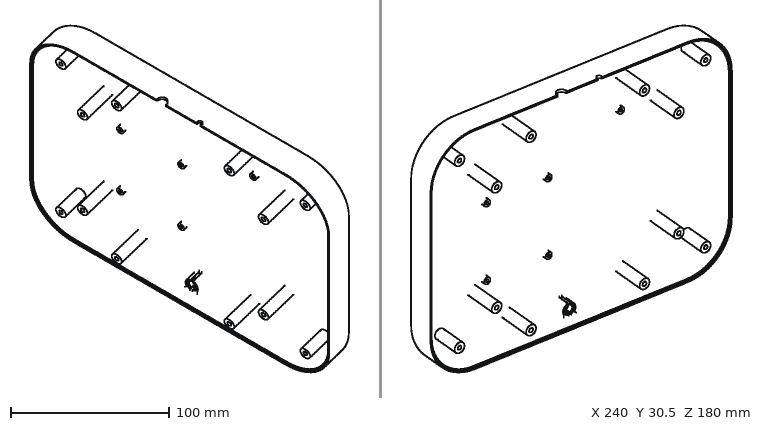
import cadquery as cq
length = 240.0
height = 180.0
depth = 23.5
overall_depth = 30.5
wall = 2.0
corner_radius = 35.0
back_fillet = 5.0
inner_fillet = back_fillet - wall
floor_y = depth - wall
rim_step = 1.0

post_diameter = 8.0
post_hole = 3.0
post_foot_fillet = 2.2
post_far = 72.5
post_near = 45.0

corner_post_x = 98.0
corner_post_shift_x = 2.0
corner_post_z = 70.0
corner_post_hole = 3.0
corner_post_setback = 1.0

standoff_diameter = 5.0
standoff_hole = 2.0
standoff_length = 4.0
standoff_foot_fillet = 1.0
board_left = -61.5
board_bottom = -41.5
board_pitch_x = 49.0
board_pitch_z = 58.0
single_standoff = (post_near, post_near)

socket_diameter = 10.0
socket_bore = 6.0
socket_length = 9.0
socket_bore_depth = 5.0
socket_counterbore = 8.0
socket_counterbore_depth = 1.0
socket_z = 5.8 - height / 2
socket_fillet = 1.0
socket_slot = 2.0

cable_notches = [(-15.0, 7.5, 1.0), (15.0, 3.5, 1.2)]

pick_margin = 0.2


def rounded_block(inset, y_front, y_back, fillet):
    """Rounded rectangle along Y, its back edge filleted unless the fillet is zero."""
    block = (
        cq.Workplane("XZ", origin=(0, y_front, 0))
        .rect(length - 2 * inset, height - 2 * inset)
        .extrude(y_front - y_back)
        .edges("|Y")
        .fillet(corner_radius - inset)
    )
    return block.faces(">Y").edges().fillet(fillet) if fillet else block


def cylinders(points, diameter, y_front, y_back):
    """Cylinders along Y centred on the given (x, z) points."""
    return (
        cq.Workplane("XZ", origin=(0, y_front, 0))
        .pushPoints(points)
        .circle(diameter / 2)
        .extrude(y_front - y_back)
    )


def pegs(points, diameter, y_front, foot_fillet):
    """Posts rising from the floor, each flared by a concave fillet at its foot."""
    radius = diameter / 2
    profile = (
        cq.Workplane("XY")
        .moveTo(0, y_front)
        .lineTo(radius, y_front)
        .lineTo(radius, floor_y - foot_fillet)
        .radiusArc((radius + foot_fillet, floor_y), foot_fillet)
        .lineTo(radius + foot_fillet, floor_y + wall / 2)
        .lineTo(0, floor_y + wall / 2)
        .close()
    )
    peg = profile.revolve(360, (0, 0, 0), (0, 1, 0))
    group = cq.Workplane("XY")
    for x, z in points:
        group = group.add(peg.translate((x, 0, z)))
    return group.combine()


def mirrored(x, z):
    """The four points mirrored about both centre lines."""
    return [(sx * x, sz * z) for sx in (-1, 1) for sz in (-1, 1)]


post_points = mirrored(post_far, post_near) + mirrored(post_near, post_far)
corner_points = [(x + corner_post_shift_x, z) for x, z in mirrored(corner_post_x, corner_post_z)]
standoff_points = [single_standoff] + [
    (board_left + column * board_pitch_x, board_bottom + row * board_pitch_z)
    for column in range(2)
    for row in range(2)
]

outer = rounded_block(0, 0, depth, back_fillet)
cavity = rounded_block(wall, 0, floor_y, inner_fillet)
rim_recess = rounded_block(wall - rim_step, 0, rim_step, 0)
tray = outer.cut(cavity).cut(rim_recess)

socket_front = floor_y - socket_length
socket = cylinders([(0, socket_z)], socket_diameter, socket_front, floor_y + wall / 2).intersect(outer)
reach = socket_diameter
inner_wall_z = wall - height / 2
floor_joint = cq.selectors.BoxSelector(
    (-reach, floor_y - pick_margin, inner_wall_z),
    (reach, floor_y + pick_margin, socket_z + reach),
)
wall_joint = cq.selectors.BoxSelector(
    (-reach, socket_front - pick_margin, inner_wall_z - pick_margin),
    (reach, floor_y - pick_margin, socket_z - socket_diameter / 4),
)
tray = tray.union(socket).edges(floor_joint + wall_joint).fillet(socket_fillet)

socket_back = socket_front + socket_bore_depth
tray = tray.cut(cylinders([(0, socket_z)], socket_bore, socket_front, socket_back))
seat_back = socket_front + socket_counterbore_depth
tray = tray.cut(cylinders([(0, socket_z)], socket_counterbore, socket_front, seat_back).intersect(cavity))
slot = (
    cq.Workplane("XY", origin=(0, socket_front - socket_fillet, inner_wall_z))
    .rect(socket_slot, 2 * reach)
    .extrude(reach + socket_fillet)
    .translate((0, reach, 0))
)
tray = tray.cut(slot.intersect(cavity))

post_front = depth - overall_depth
standoff_front = floor_y - standoff_length
tray = tray.union(pegs(post_points, post_diameter, post_front, post_foot_fillet))
tray = tray.union(cylinders(corner_points, post_diameter, corner_post_setback, floor_y + wall / 2))
tray = tray.union(pegs(standoff_points, standoff_diameter, standoff_front, standoff_foot_fillet))

tray = tray.cut(cylinders(post_points, post_hole, post_front, depth))
tray = tray.cut(cylinders(corner_points, corner_post_hole, corner_post_setback, depth))
tray = tray.cut(cylinders(standoff_points, standoff_hole, standoff_front, floor_y))

for x, diameter, inset in cable_notches:
    notch = (
        cq.Workplane("XY", origin=(x, inset, height / 2 - 2 * wall))
        .circle(diameter / 2)
        .extrude(3 * wall)
    )
    tray = tray.cut(notch)

result = tray